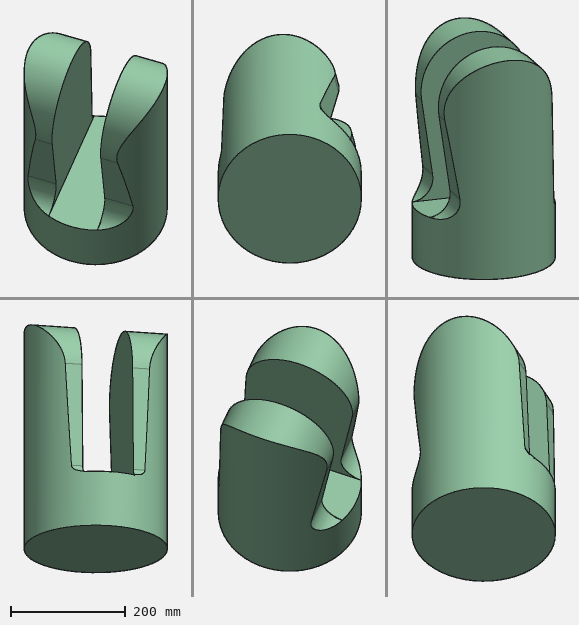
import cadquery as cq
import math

height = 400.0
diameter = 250.0
base_height = 100.0
dome_radius = 100.0
slot_width = 90.0
front_lean = 8.3
back_lean = 2.0
front_fillet = 40.0
back_fillet = 14.0

dome_center_z = height - dome_radius
body_radius = diameter / 2
cut_margin = 20.0


def flank_points(lean, fillet):
    """Points (distance from axis, z) down one flank, for a flank leaning inward by lean degrees.

    Returns the dome tangent point, then the start, middle and end of the concave base fillet.
    """
    angle = math.radians(lean)
    normal = (math.cos(angle), -math.sin(angle))
    tangent = (dome_radius * normal[0], dome_center_z + dome_radius * normal[1])
    center_z = base_height + fillet
    center_offset = (dome_radius + fillet + (center_z - dome_center_z) * math.sin(angle)) / math.cos(angle)
    start = (center_offset - fillet * normal[0], center_z - fillet * normal[1])
    middle_angle = (math.radians(180 - lean) + math.radians(270)) / 2
    middle = (
        center_offset + fillet * math.cos(middle_angle),
        center_z + fillet * math.sin(middle_angle),
    )
    end = (center_offset, base_height)
    return tangent, start, middle, end


def mirrored(point):
    """Move a flank point to the front (-Y) side."""
    return (-point[0], point[1])


def make_profile():
    """Side outline in the YZ plane, extruded across the full width of the body."""
    back_tangent, back_start, back_middle, back_end = flank_points(-back_lean, back_fillet)
    front = flank_points(front_lean, front_fillet)
    front_tangent, front_start, front_middle, front_end = [mirrored(point) for point in front]
    reach = body_radius + cut_margin
    return (
        cq.Workplane("YZ")
        .moveTo(-reach, 0)
        .lineTo(reach, 0)
        .lineTo(reach, base_height)
        .lineTo(*back_end)
        .threePointArc(back_middle, back_start)
        .lineTo(*back_tangent)
        .threePointArc((0, height), front_tangent)
        .lineTo(*front_start)
        .threePointArc(front_middle, front_end)
        .lineTo(-reach, base_height)
        .close()
        .extrude(reach, both=True)
    )


def make_slot():
    """Slot between the two cheeks, open at the top and down to the base."""
    return (
        cq.Workplane("XY")
        .workplane(offset=base_height)
        .rect(slot_width, diameter + 2 * cut_margin)
        .extrude(height)
    )


body = cq.Workplane("XY").circle(body_radius).extrude(height)
result = body.intersect(make_profile()).cut(make_slot())